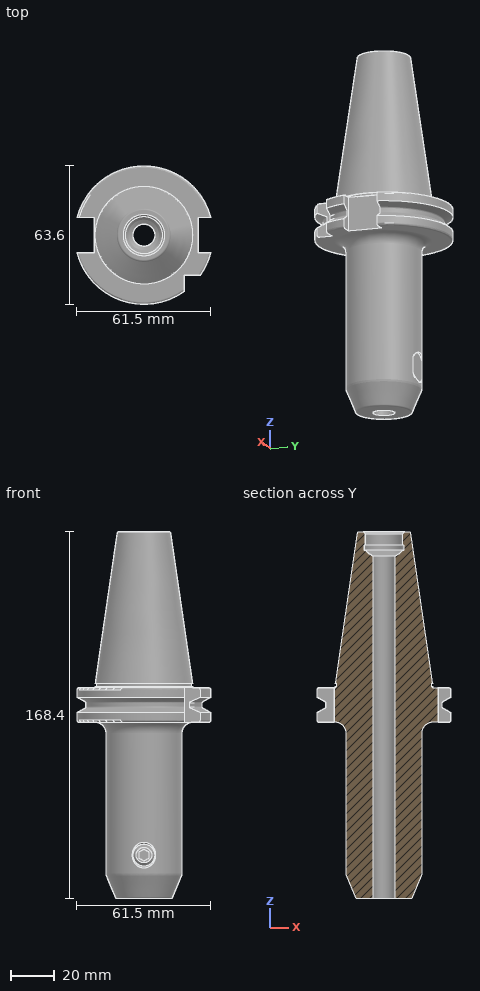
import cadquery as cq
import math


GAUGE_RADIUS = 44.45 / 2
TAPER_LENGTH = 68.4
TAPER_SLOPE = 7 / 48
TAPER_TOP_ROUND = 1.0
TAPER_END_Z = -1.2
RELIEF_DEPTH = 0.5
RELIEF_WIDTH = 1.5

FLANGE_RADIUS = 63.55 / 2
FLANGE_TOP_Z = -3.2
FLANGE_BOTTOM_Z = -19.1
FLANGE_EDGE_ROUND = 1.0
GROOVE_CENTRE_Z = -11.1
GROOVE_WIDTH = 7.0
GROOVE_FLOOR_RADIUS = 55.8 / 2
GROOVE_FLANK_ANGLE = 30.0
GROOVE_CORNER_ROUND = 0.6

SLOT_WIDTH = 16.1
SLOT_FLOOR_LEFT = 22.8
SLOT_FLOOR_RIGHT = 25.0
NOTCH_OFFSET = 18.5

BODY_RADIUS = 35.0 / 2
BODY_FILLET = 5.0
NOSE_Z = -100.0
NOSE_RADIUS = 12.9
NOSE_CONE_HEIGHT = 11.0
NOSE_SHOULDER_ROUND = 2.5
NOSE_EDGE_ROUND = 1.0

TOOL_BORE_RADIUS = 10.0 / 2
PILOT_RADIUS = 17.0 / 2
PILOT_DEPTH = 6.2
PILOT_RELIEF_DEPTH = 0.5
PILOT_RELIEF_WIDTH = 2.3
PILOT_CHAMFER = 1.0
PILOT_END_RADIUS = 14.0 / 2
DRILL_POINT_ANGLE = 118.0

SCREW_Z = NOSE_Z + 20.0
SCREW_RADIUS = 10.0 / 2
SCREW_END_CHAMFER = 1.5
SCREW_FACE_Y = -17.3
COUNTERSINK_RADIUS = 5.9
COUNTERSINK_HALF_ANGLE = 30.0
SCREW_HEX_ACROSS_FLATS = 4.7
SCREW_HEX_DEPTH = 5.0

POCKET_RADIUS = 7.0
POCKET_FLOOR_Y = BODY_RADIUS - 1.0

CLEARANCE = 1.0


def revolve_outline(outline):
    """Turn a closed radius/height outline around Z."""
    return outline.close().revolve(360, (0, 0, 0), (0, 1, 0))


def round_edge(body, radius, z, round_radius):
    """Fillet the circular edge of the given radius at height z."""
    tolerance = 0.01

    def is_wanted(edge):
        box = edge.BoundingBox()
        return abs(edge.Center().z - z) < tolerance and abs(box.xmax - radius) < tolerance

    wanted = body.edges("%CIRCLE").filter(is_wanted)
    return cq.Workplane(body.val().fillet(round_radius, wanted.vals()))


def holder_body():
    taper_top_radius = GAUGE_RADIUS - TAPER_LENGTH * TAPER_SLOPE
    taper_end_radius = GAUGE_RADIUS - TAPER_END_Z * TAPER_SLOPE
    relief_radius = taper_end_radius - RELIEF_DEPTH
    relief_end_z = TAPER_END_Z - RELIEF_WIDTH

    flank_height = (FLANGE_RADIUS - GROOVE_FLOOR_RADIUS) * math.tan(math.radians(GROOVE_FLANK_ANGLE))
    groove_top = GROOVE_CENTRE_Z + GROOVE_WIDTH / 2
    groove_bottom = GROOVE_CENTRE_Z - GROOVE_WIDTH / 2
    floor_top = groove_top - flank_height
    floor_bottom = groove_bottom + flank_height
    shoulder_z = NOSE_Z + NOSE_CONE_HEIGHT

    outline = (
        cq.Workplane("XZ")
        .moveTo(0, TAPER_LENGTH)
        .lineTo(taper_top_radius, TAPER_LENGTH)
        .lineTo(taper_end_radius, TAPER_END_Z)
        .lineTo(relief_radius, TAPER_END_Z)
        .lineTo(relief_radius, relief_end_z)
        .lineTo(taper_end_radius, relief_end_z)
        .lineTo(taper_end_radius, FLANGE_TOP_Z)
        .lineTo(FLANGE_RADIUS, FLANGE_TOP_Z)
        .lineTo(FLANGE_RADIUS, groove_top)
        .lineTo(GROOVE_FLOOR_RADIUS, floor_top)
        .lineTo(GROOVE_FLOOR_RADIUS, floor_bottom)
        .lineTo(FLANGE_RADIUS, groove_bottom)
        .lineTo(FLANGE_RADIUS, FLANGE_BOTTOM_Z)
        .lineTo(BODY_RADIUS + BODY_FILLET, FLANGE_BOTTOM_Z)
        .radiusArc((BODY_RADIUS, FLANGE_BOTTOM_Z - BODY_FILLET), -BODY_FILLET)
        .lineTo(BODY_RADIUS, shoulder_z)
        .lineTo(NOSE_RADIUS, NOSE_Z)
        .lineTo(0, NOSE_Z)
    )
    body = revolve_outline(outline)
    body = round_edge(body, taper_top_radius, TAPER_LENGTH, TAPER_TOP_ROUND)
    for flange_face_z in (FLANGE_TOP_Z, FLANGE_BOTTOM_Z):
        body = round_edge(body, FLANGE_RADIUS, flange_face_z, FLANGE_EDGE_ROUND)
    for corner_z in (floor_top, floor_bottom):
        body = round_edge(body, GROOVE_FLOOR_RADIUS, corner_z, GROOVE_CORNER_ROUND)
    body = round_edge(body, BODY_RADIUS, shoulder_z, NOSE_SHOULDER_ROUND)
    return round_edge(body, NOSE_RADIUS, NOSE_Z, NOSE_EDGE_ROUND)


def flange_cutter(x_min, x_max, y_min, y_max):
    """Cutting block through the full flange height."""
    height = FLANGE_TOP_Z - FLANGE_BOTTOM_Z
    return (
        cq.Workplane("XY")
        .box(x_max - x_min, y_max - y_min, height, centered=False)
        .translate((x_min, y_min, FLANGE_BOTTOM_Z))
    )


def flange_cuts():
    beyond = FLANGE_RADIUS + CLEARANCE
    half_slot = SLOT_WIDTH / 2
    left_slot = flange_cutter(-beyond, -SLOT_FLOOR_LEFT, -half_slot, half_slot)
    right_slot = flange_cutter(SLOT_FLOOR_RIGHT, beyond, -half_slot, half_slot)
    notch = flange_cutter(NOTCH_OFFSET, beyond, -beyond, -NOTCH_OFFSET)
    return left_slot.union(right_slot).union(notch)


def axial_bore():
    pilot_end = TAPER_LENGTH - PILOT_DEPTH
    relief_end = pilot_end - PILOT_RELIEF_WIDTH
    relief_radius = PILOT_RADIUS + PILOT_RELIEF_DEPTH
    step_end = relief_end - (PILOT_RADIUS - PILOT_END_RADIUS)
    point_height = (PILOT_END_RADIUS - TOOL_BORE_RADIUS) / math.tan(math.radians(DRILL_POINT_ANGLE / 2))
    outline = (
        cq.Workplane("XZ")
        .moveTo(0, TAPER_LENGTH)
        .lineTo(PILOT_RADIUS + PILOT_CHAMFER, TAPER_LENGTH)
        .lineTo(PILOT_RADIUS, TAPER_LENGTH - PILOT_CHAMFER)
        .lineTo(PILOT_RADIUS, pilot_end)
        .lineTo(relief_radius, pilot_end)
        .lineTo(relief_radius, relief_end)
        .lineTo(PILOT_RADIUS, relief_end)
        .lineTo(PILOT_END_RADIUS, step_end)
        .lineTo(TOOL_BORE_RADIUS, step_end - point_height)
        .lineTo(TOOL_BORE_RADIUS, NOSE_Z)
        .lineTo(0, NOSE_Z)
    )
    return revolve_outline(outline)


def cylinder_along_y(radius, y_start, y_end):
    """Cylinder at screw height, running parallel to Y."""
    return cq.Workplane(cq.Solid.makeCylinder(
        radius, y_end - y_start, cq.Vector(0, y_start, SCREW_Z), cq.Vector(0, 1, 0)
    ))


def clamping_screw_recess():
    """Countersunk hole mouth and hex socket, with the screw end left standing in the hole."""
    outside_y = -BODY_RADIUS - CLEARANCE
    sink_slope = math.tan(math.radians(COUNTERSINK_HALF_ANGLE))
    sink_start_y = -BODY_RADIUS + (COUNTERSINK_RADIUS - SCREW_RADIUS) / sink_slope
    sink_height = sink_start_y - outside_y
    countersink = cq.Workplane(cq.Solid.makeCone(
        SCREW_RADIUS, SCREW_RADIUS + sink_height * sink_slope, sink_height,
        cq.Vector(0, sink_start_y, SCREW_Z), cq.Vector(0, -1, 0)
    ))
    hole_mouth = cylinder_along_y(SCREW_RADIUS, outside_y, SCREW_FACE_Y + SCREW_END_CHAMFER)
    screw = cylinder_along_y(SCREW_RADIUS, SCREW_FACE_Y, 0).faces("<Y").chamfer(SCREW_END_CHAMFER)
    hex_diameter = SCREW_HEX_ACROSS_FLATS / math.cos(math.pi / 6)
    socket = (
        cq.Workplane("XZ", origin=(0, SCREW_FACE_Y, SCREW_Z))
        .transformed(rotate=(0, 0, 90))
        .polygon(6, hex_diameter)
        .extrude(-SCREW_HEX_DEPTH)
    )
    return countersink.union(hole_mouth).cut(screw).union(socket)


def balancing_pocket():
    return cylinder_along_y(POCKET_RADIUS, POCKET_FLOOR_Y, BODY_RADIUS + CLEARANCE)


result = (
    holder_body()
    .cut(flange_cuts())
    .cut(axial_bore())
    .cut(clamping_screw_recess())
    .cut(balancing_pocket())
)